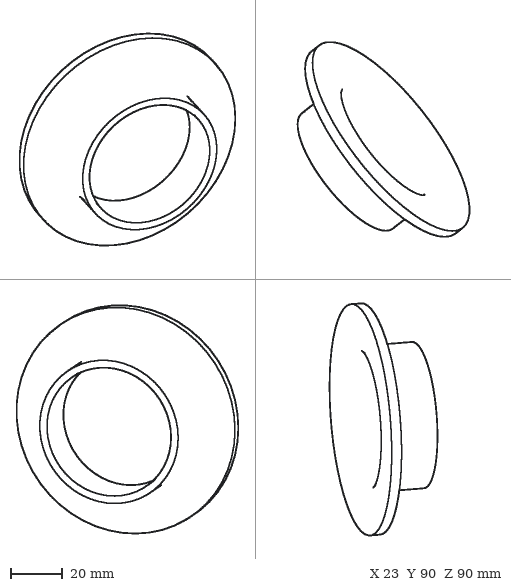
import cadquery as cq

flange_diameter = 90.0
flange_thickness = 4.0
collar_diameter = 57.0
bore_diameter = 51.0
total_length = 23.0

mouth_radius = 5.0

neck_radius = 3.0

flange_radius = flange_diameter / 2
collar_radius = collar_diameter / 2
bore_radius = bore_diameter / 2

half_section = (
    cq.Workplane("XY")
    .moveTo(0, flange_radius)
    .lineTo(flange_thickness, flange_radius)
    .lineTo(flange_thickness, collar_radius + neck_radius)
    .tangentArcPoint((flange_thickness + neck_radius, collar_radius), relative=False)
    .lineTo(total_length, collar_radius)
    .lineTo(total_length, bore_radius)
    .lineTo(mouth_radius, bore_radius)
    .tangentArcPoint((0, bore_radius + mouth_radius), relative=False)
    .close()
)

result = half_section.revolve(360, (0, 0, 0), (1, 0, 0))